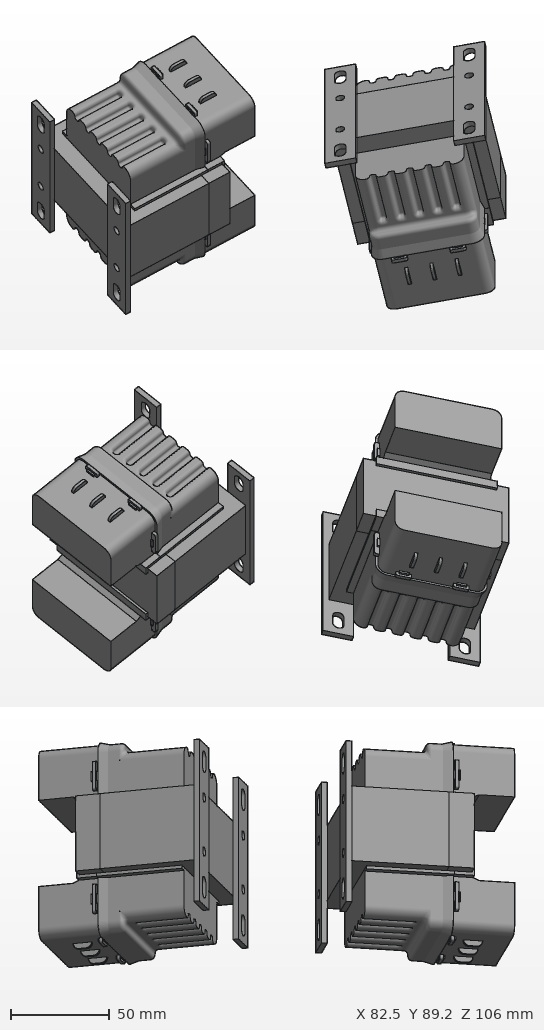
import cadquery as cq
import math


core_width = 76.5
e_depth = 50.5
i_depth = 13.0
core_depth = e_depth + i_depth
stack = 39.8
core_face = stack / 2

overall_width = 82.55
foot_width = 16.0
foot_thickness = 3.0
foot_height = 85.8
foot_x = (overall_width - foot_width) / 2
slot_width = 5.9
slot_length = 11.0
slot_z = 33.3
rivet_hole_diameter = 4.5
rivet_hole_z = 14.3

cover_half_width = 28.0
cover_top = 50.15
corner_radius = 5.1
step_drop = corner_radius
step_top = cover_top - step_drop

flange_half_width = 31.7
flange_thickness = 1.65
flange_top = core_face + flange_thickness
lip_thickness = 1.4
lip_bottom = 16.45

cover_front = 9.3
cap_length = 31.75
overall_depth = 89.25
cap_rear = overall_depth - foot_thickness
split_y = cap_rear - cap_length
lip_rear = core_depth + lip_thickness

rim_flare = 1.25
rim_land = 0.4
rim_length = 5.1
step_fillet = 2.1
step_length = 13.2
step_y = split_y - step_length

groove_count = 5
groove_pitch = 9.525
groove_flat = 0.9
groove_mouth_radius = 2.0
groove_floor_radius = 1.2
groove_floor_z = step_top - groove_mouth_radius - groove_floor_radius
groove_end_y = 35.2

relief_z = 22.85
relief_length = 13.5
relief_y = split_y + relief_length
latch_tab_width = 5.1
latch_tab_length = 3.5
latch_tab_height = 1.2
latch_root = 1.0
latch_bar_height = 2.55
latch_bar_thickness = 1.8
latch_bar_offset = 0.7
latch_bar_rounding = 1.0
top_latch_bar = 8.2
top_latch_x = 15.1
side_latch_bar = 15.3
side_latch_z = 32.5
terminal_count = 3
terminal_pitch = 13.0
terminal_thickness = 1.6
terminal_length = 9.9
terminal_radius = 3.0
terminal_offset = 13.05
terminal_y = split_y + terminal_offset
overall_height = 106.0


def block(x0, x1, y0, y1, z0, z1):
    """Axis-aligned box between two corners."""
    return cq.Workplane("XY").box(x1 - x0, y1 - y0, z1 - z0, centered=False).translate((x0, y0, z0))


def arch_sketch(y, top, half_width, radius):
    """Outline in a plane of constant Y: flat base on the core, rounded top corners."""
    bend = radius * (1 - math.sqrt(0.5))
    return (
        cq.Workplane("XZ", origin=(0, y, 0))
        .moveTo(-half_width, core_face)
        .lineTo(-half_width, top - radius)
        .threePointArc((-half_width + bend, top - bend), (-half_width + radius, top))
        .lineTo(half_width - radius, top)
        .threePointArc((half_width - bend, top - bend), (half_width, top - radius))
        .lineTo(half_width, core_face)
        .close()
    )


def arch(y0, y1, top=cover_top, half_width=cover_half_width, radius=corner_radius):
    """Arch outline carried from y0 to y1."""
    return arch_sketch(y0, top, half_width, radius).extrude(y0 - y1)


def make_e_core():
    return block(-core_width / 2, core_width / 2, 0, e_depth, -core_face, core_face)


def make_i_core():
    return block(-core_width / 2, core_width / 2, e_depth, core_depth, -core_face, core_face)


def make_foot(side):
    return (
        cq.Workplane("XZ", origin=(side * foot_x, 0, 0))
        .rect(foot_width, foot_height)
        .extrude(foot_thickness)
        .faces("<Y")
        .workplane(origin=(side * foot_x, 0, 0))
        .pushPoints([(0, -slot_z), (0, slot_z)])
        .slot2D(slot_length, slot_width, 90)
        .cutThruAll()
        .faces("<Y")
        .workplane(origin=(side * foot_x, 0, 0))
        .pushPoints([(0, -rivet_hole_z), (0, rivet_hole_z)])
        .hole(rivet_hole_diameter)
    )


def flared_rim():
    """Rim that flares outwards to a narrow land at the split with the rear cap."""
    top = cover_top + rim_flare
    half_width = cover_half_width + rim_flare
    radius = corner_radius + rim_flare
    land_y = split_y - rim_land
    land = arch(land_y, split_y, top, half_width, radius)
    narrow_end = arch_sketch(split_y - rim_length, cover_top, cover_half_width, corner_radius).val()
    wide_end = arch_sketch(land_y, top, half_width, radius).val()
    flare = cq.Solid.makeLoft([narrow_end, wide_end], True)
    return land.union(cq.Workplane(flare))


def groove_flank():
    """Section of one groove flank, from the edge of the floor flat (X = 0) out to the mouth."""
    neck_z = groove_floor_z + groove_floor_radius
    mouth = groove_floor_radius + groove_mouth_radius
    floor_bend = groove_floor_radius * math.sqrt(0.5)
    mouth_bend = groove_mouth_radius * math.sqrt(0.5)
    return (
        cq.Workplane("XZ")
        .moveTo(0, groove_floor_z)
        .threePointArc((floor_bend, neck_z - floor_bend), (groove_floor_radius, neck_z))
        .threePointArc((mouth - mouth_bend, neck_z + mouth_bend), (mouth, step_top))
        .lineTo(0, step_top)
        .close()
    )


def groove_cutter():
    """Groove centred on X = 0, running from the front face to a rounded rear end."""
    length = groove_end_y - cover_front
    half_flat = groove_flat / 2
    flank = groove_flank().extrude(length)
    corner = groove_flank().revolve(360, (0, 0, 0), (0, 1, 0))
    half = flank.union(corner).translate((half_flat, groove_end_y, 0))
    end_slope = (
        groove_flank()
        .extrude(groove_flat)
        .rotate((0, 0, 0), (0, 0, 1), 90)
        .translate((-half_flat, groove_end_y, 0))
    )
    middle = block(-half_flat, half_flat, cover_front, groove_end_y, groove_floor_z, step_top)
    return middle.union(half).union(half.mirror("YZ")).union(end_slope)


def make_front_cover():
    upper = arch(step_y, split_y).faces("<Y").edges("not <Z").fillet(step_fillet)
    lower = arch(cover_front, split_y, step_top)
    body = upper.union(lower)
    inner_corner = cq.selectors.BoxSelector(
        (-cover_half_width, step_y - step_fillet / 2, step_top - corner_radius),
        (cover_half_width, step_y + step_fillet / 2, step_top + step_fillet / 2),
    )
    body = body.edges(inner_corner).fillet(step_fillet)
    body = body.union(flared_rim())
    flange = block(
        -flange_half_width, flange_half_width, cover_front, split_y, core_face, flange_top
    )
    body = body.union(flange)
    groove = groove_cutter()
    for index in range(groove_count):
        x = (index - (groove_count - 1) / 2) * groove_pitch
        body = body.cut(groove.translate((x, 0, 0)))
    return body


def latch(bar_length):
    """Latch lying on Z = 0 and rising along +Z, its front end at Y = 0."""
    tab = block(
        -latch_tab_width / 2, latch_tab_width / 2, 0, latch_tab_length, -latch_root, latch_tab_height
    )
    bar = block(
        -bar_length / 2, bar_length / 2,
        latch_bar_offset, latch_bar_offset + latch_bar_thickness,
        -latch_root, latch_bar_height,
    )
    bar = bar.edges("|Y and >Z").fillet(latch_bar_rounding)
    return tab.union(bar)


def terminal(x):
    """Upright round-ended blade standing out of the top of the cap."""
    blade_z = overall_height / 2 - terminal_radius
    return (
        cq.Workplane("YZ", origin=(x - terminal_thickness / 2, terminal_y, blade_z))
        .slot2D(terminal_length, 2 * terminal_radius)
        .extrude(terminal_thickness)
    )


def make_rear_cap():
    cap = arch(split_y, cap_rear)
    relief = (
        cq.Workplane("YZ", origin=(-cover_half_width, 0, 0))
        .moveTo(lip_rear, core_face)
        .lineTo(lip_rear, flange_top)
        .lineTo(relief_y, relief_z)
        .lineTo(cap_rear, relief_z)
        .lineTo(cap_rear, core_face)
        .close()
        .extrude(2 * cover_half_width)
    )
    cap = cap.cut(relief)
    flange = block(
        -flange_half_width, flange_half_width, split_y, lip_rear, core_face, flange_top
    )
    lip = block(
        -flange_half_width, flange_half_width, core_depth, lip_rear, lip_bottom, flange_top
    )
    cap = cap.union(flange).union(lip)
    for side in (-1, 1):
        top_latch = latch(top_latch_bar).translate((side * top_latch_x, split_y, cover_top))
        side_latch = (
            latch(side_latch_bar)
            .rotate((0, 0, 0), (0, 1, 0), side * 90)
            .translate((side * cover_half_width, split_y, side_latch_z))
        )
        cap = cap.union(top_latch).union(side_latch)
    for index in range(terminal_count):
        x = (index - (terminal_count - 1) / 2) * terminal_pitch
        cap = cap.union(terminal(x))
    return cap


e_core = make_e_core()
i_core = make_i_core()
feet = [make_foot(side) for side in (-1, 1)]
front_cover = make_front_cover()
rear_cap = make_rear_cap()
front_covers = [front_cover, front_cover.mirror("XY")]
rear_caps = [rear_cap, rear_cap.mirror("XY")]

bodies = [e_core, i_core, *feet, *front_covers, *rear_caps]
result = cq.Compound.makeCompound([body.val() for body in bodies])